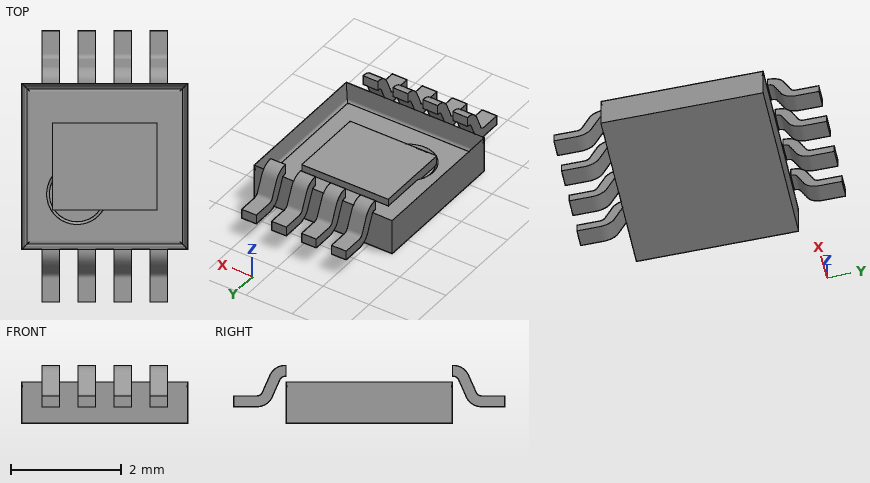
import cadquery as cq
import math

leads_per_side = 4
lead_pitch = 0.65
lead_width = 0.32
lead_thickness = 0.2
lead_height = 0.75
lead_tip_y = 2.45
foot_length = 0.425
bend_angle = math.radians(66)
inner_bend_radius = 0.1
outer_bend_radius = inner_bend_radius + lead_thickness

housing_side = 3.0
housing_height = 0.75
lead_rise = 0.3
half_side = housing_side / 2
rim_z = lead_height - lead_rise
housing_bottom_z = rim_z - housing_height

wall_inset = 0.06
wall_depth = 0.315
valley_inset = 0.1
valley_depth = 0.366
floor_inset = 0.155
floor_depth = 0.35
groove_hollow_radius = 0.08
wall_z = rim_z - wall_depth
valley_z = rim_z - valley_depth
floor_z = rim_z - floor_depth
wall_y = half_side - wall_inset
valley_y = half_side - valley_inset
floor_y = half_side - floor_inset

dimple_x = -0.5
dimple_y = -0.5
dimple_top_radius = 0.55
dimple_bottom_radius = 0.5
dimple_depth = 0.05
dimple_z = floor_z - dimple_depth

plate_length = 1.88
plate_width = 1.57
plate_rise = 0.15
plate_thickness = plate_rise + dimple_depth


def make_wall_cutter():
    """Upper part of the tray: four leaning walls that meet the housing sides in a sharp rim."""
    return (
        cq.Workplane("XY", origin=(0, 0, rim_z))
        .rect(housing_side, housing_side)
        .workplane(offset=-wall_depth)
        .rect(2 * wall_y, 2 * wall_y)
        .loft(ruled=True)
    )


def make_floor_cutter():
    """Lower part of the tray, down to the flat floor."""
    return (
        cq.Workplane("XY", origin=(0, 0, floor_z))
        .rect(2 * floor_y, 2 * floor_y)
        .extrude(wall_z - floor_z)
    )


def make_groove_cutter():
    """Groove around the floor: a hollow outer flank and a rounded inner flank, mitred at the corners."""
    flank_width = valley_y - floor_y
    flank_height = floor_z - valley_z
    flank_radius = (flank_width**2 + flank_height**2) / (2 * flank_height)
    path = cq.Workplane("XY", origin=(0, 0, floor_z)).rect(2 * floor_y, 2 * floor_y)
    return (
        cq.Workplane("YZ")
        .moveTo(wall_y, wall_z)
        .radiusArc((valley_y, valley_z), groove_hollow_radius)
        .radiusArc((floor_y, floor_z), -flank_radius)
        .lineTo(floor_y, wall_z)
        .close()
        .sweep(path, transition="right")
    )


def make_dimple_cutter():
    """Shallow cone that narrows downwards."""
    return (
        cq.Workplane("XY", origin=(dimple_x, dimple_y, floor_z))
        .circle(dimple_top_radius)
        .workplane(offset=-dimple_depth)
        .circle(dimple_bottom_radius)
        .loft(ruled=True)
    )


def make_plate():
    return (
        cq.Workplane("XY", origin=(0, 0, dimple_z))
        .rect(plate_length, plate_width)
        .extrude(plate_thickness)
    )


def make_housing():
    """Tray with a recess in its floor that the plate fills."""
    block = (
        cq.Workplane("XY", origin=(0, 0, housing_bottom_z))
        .rect(housing_side, housing_side)
        .extrude(housing_height)
    )
    return (
        block.cut(make_wall_cutter())
        .cut(make_floor_cutter())
        .cut(make_groove_cutter())
        .cut(make_dimple_cutter())
        .cut(make_plate())
    )


def arc_point(center, radius, angle):
    """Point on a circle in the lead's YZ profile; the angle is measured from +Y towards +Z."""
    return (center[0] + radius * math.cos(angle), center[1] + radius * math.sin(angle))


def make_lead():
    """Lead at X = 0 on the -Y side, foot towards -Y and shoulder ending flush with the housing side."""
    bend_radii = inner_bend_radius + outer_bend_radius
    slope_rise = lead_height - lead_thickness - bend_radii * (1 - math.cos(bend_angle))
    slope_run = slope_rise / math.tan(bend_angle)
    bends_run = bend_radii * math.sin(bend_angle)

    tip_y = -lead_tip_y
    end_y = -half_side
    foot_bend_y = tip_y + foot_length
    shoulder_bend_y = foot_bend_y + bends_run + slope_run
    foot_center = (foot_bend_y, outer_bend_radius)
    shoulder_center = (shoulder_bend_y, lead_height - outer_bend_radius)

    down = math.radians(-90)
    up = math.radians(90)
    foot_mid = down + bend_angle / 2
    foot_end = down + bend_angle
    shoulder_mid = up + bend_angle / 2
    shoulder_start = up + bend_angle

    profile = (
        cq.Workplane("YZ", origin=(-lead_width / 2, 0, 0))
        .moveTo(tip_y, 0)
        .lineTo(foot_bend_y, 0)
        .threePointArc(
            arc_point(foot_center, outer_bend_radius, foot_mid),
            arc_point(foot_center, outer_bend_radius, foot_end),
        )
        .lineTo(*arc_point(shoulder_center, inner_bend_radius, shoulder_start))
        .threePointArc(
            arc_point(shoulder_center, inner_bend_radius, shoulder_mid),
            arc_point(shoulder_center, inner_bend_radius, up),
        )
        .lineTo(end_y, lead_height - lead_thickness)
        .lineTo(end_y, lead_height)
        .lineTo(shoulder_bend_y, lead_height)
        .threePointArc(
            arc_point(shoulder_center, outer_bend_radius, shoulder_mid),
            arc_point(shoulder_center, outer_bend_radius, shoulder_start),
        )
        .lineTo(*arc_point(foot_center, inner_bend_radius, foot_end))
        .threePointArc(
            arc_point(foot_center, inner_bend_radius, foot_mid),
            arc_point(foot_center, inner_bend_radius, down),
        )
        .lineTo(tip_y, lead_thickness)
        .close()
    )
    return profile.extrude(lead_width)


def make_leads():
    """Both rows; the +Y row is the -Y row turned half a turn about Z."""
    leads = []
    row_start_x = -lead_pitch * (leads_per_side - 1) / 2
    for turn in (0, 180):
        for index in range(leads_per_side):
            lead_x = row_start_x + index * lead_pitch
            lead = make_lead().translate((lead_x, 0, 0))
            leads.append(lead.rotate((0, 0, 0), (0, 0, 1), turn))
    return leads


housing = make_housing()
plate = make_plate()
leads = make_leads()

result = cq.Compound.makeCompound([housing.solids().val(), plate.val(), *[lead.val() for lead in leads]])